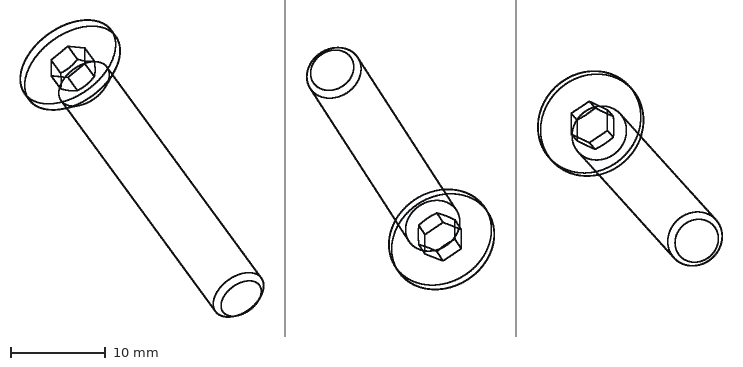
import cadquery as cq
import math

length = 40.0
shank_diameter = 6.0
head_diameter = 11.34
head_height = 3.72
tip_diameter = 4.773
socket_across_flats = 4.0
socket_depth = 2.2
socket_cone_angle = 120.0

shank_radius = shank_diameter / 2
head_radius = head_diameter / 2
tip_radius = tip_diameter / 2
head_rim = head_height - (head_radius - shank_radius)
tip_chamfer = shank_radius - tip_radius


def screw_body():
    """Head, shank and chamfered tip as one revolved profile."""
    profile = [
        (0, 0),
        (0, head_radius),
        (head_rim, head_radius),
        (head_height, shank_radius),
        (length - tip_chamfer, shank_radius),
        (length, tip_radius),
        (length, 0),
    ]
    return cq.Workplane("XY").polyline(profile).close().revolve(360, (0, 0, 0), (1, 0, 0))


def hex_socket():
    """Hexagonal prism with corners along Z, ending in a drilled cone."""
    corner_radius = socket_across_flats / math.sqrt(3)
    cone_height = corner_radius / math.tan(math.radians(socket_cone_angle / 2))
    hexagon = (
        cq.Workplane("YZ")
        .transformed(rotate=(0, 0, 90))
        .polygon(6, 2 * corner_radius)
        .extrude(socket_depth + cone_height)
    )
    drill_profile = [
        (0, 0),
        (0, corner_radius),
        (socket_depth, corner_radius),
        (socket_depth + cone_height, 0),
    ]
    drill = cq.Workplane("XY").polyline(drill_profile).close().revolve(360, (0, 0, 0), (1, 0, 0))
    return hexagon.intersect(drill)


result = screw_body().cut(hex_socket())